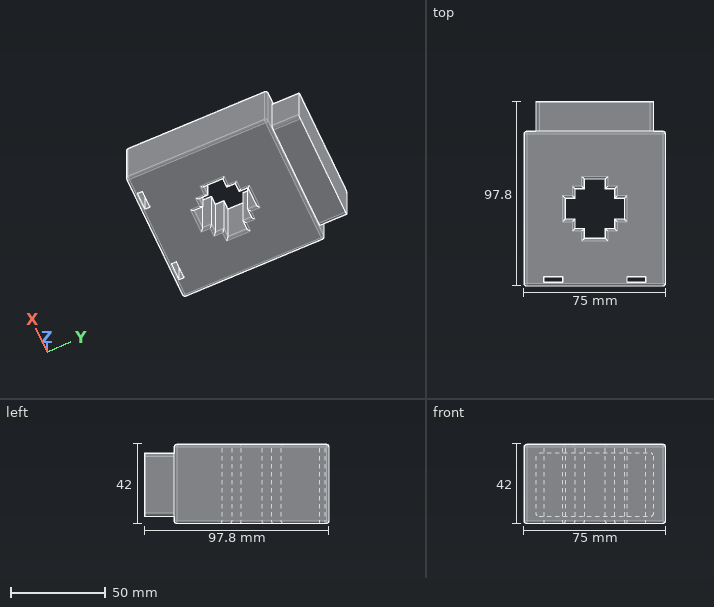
import cadquery as cq

housing_width = 75.0
housing_height = 42.0
total_depth = 97.75
housing_edge_radius = 1.5

terminal_depth = 15.6
terminal_width = 62.4
terminal_height = 33.7
terminal_drop = 0.5
terminal_edge_radius = 2.0

housing_depth = total_depth - terminal_depth

window_steps = (5.5, 10.5, 15.6)
window_edge_radius = 1.5

slot_length = 9.9
slot_width = 2.8
slot_spacing = 44.1
slot_front_distance = 3.5


def make_housing():
    block = cq.Workplane("XY").box(housing_width, housing_depth, housing_height)
    return block.edges().fillet(housing_edge_radius)


def make_terminal():
    overlap = 2 * housing_edge_radius
    length = terminal_depth + overlap
    center_y = housing_depth / 2 + (terminal_depth - overlap) / 2
    block = cq.Workplane("XY").box(terminal_width, length, terminal_height)
    block = block.edges("|Y").fillet(terminal_edge_radius)
    return block.translate((0, center_y, -terminal_drop))


def make_window():
    window = cq.Workplane("XY")
    for half_x, half_y in zip(window_steps, reversed(window_steps)):
        window = window.union(cq.Workplane("XY").box(2 * half_x, 2 * half_y, housing_height))
    return window.clean()


def round_window_edges(body):
    reach = window_steps[-1] + window_edge_radius
    above = housing_height
    rim = cq.selectors.BoxSelector((-reach, -reach, -above), (reach, reach, above))
    return body.faces("<Z or >Z").edges(rim).fillet(window_edge_radius)


def make_slots():
    slot_y = slot_front_distance - housing_depth / 2
    return (
        cq.Workplane("XY")
        .center(0, slot_y)
        .rarray(slot_spacing, 1, 2, 1)
        .rect(slot_length, slot_width)
        .extrude(housing_height, both=True)
    )


housing = round_window_edges(make_housing().cut(make_window()))
result = housing.cut(make_slots()).union(make_terminal())